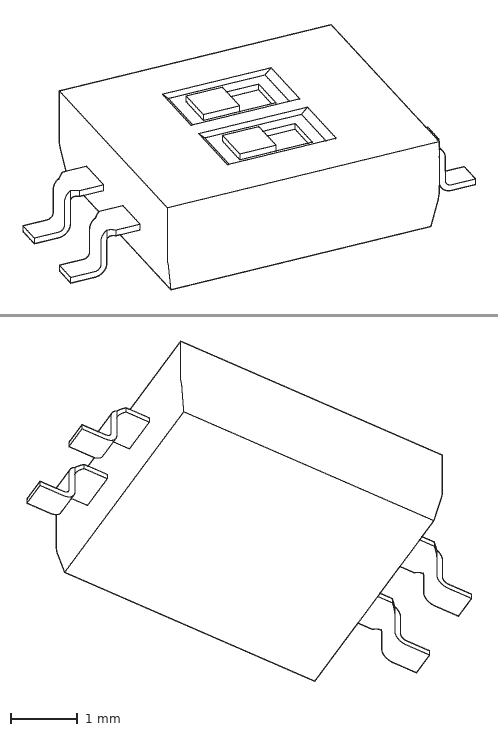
import cadquery as cq
import math

BODY_X = 3.77
BODY_Y = 4.5
STANDOFF = 0.1
TOP_Z = 1.6
DRAFT_ANGLE = 9.5
DRAFT_TAN = math.tan(math.radians(DRAFT_ANGLE))
X_SIDE_BREAK_Z = 0.59
Y_SIDE_BREAK_Z = 0.69

PITCH = 1.27
POSITIONS_X = (-PITCH / 2, PITCH / 2)

RECESS_X = 1.0
RECESS_Y = 1.8
RECESS_DEPTH = 0.1
RECESS_SLOPE = RECESS_DEPTH
SLOT_X = 0.6
SLOT_Y = 1.2
SLOT_DEPTH = 0.1

LEAD_THICKNESS = 0.1
LEAD_TOP_Z = 0.8
LEAD_TIP_Y = 3.35
LEAD_SHANK_Y = 2.85
BEND_INNER = 0.1
BEND_OUTER = BEND_INNER + LEAD_THICKNESS
SHOULDER_WIDTH = 0.6
LEAD_WIDTH = 0.4
LEAD_ROOT = 0.2


def drafted_prism(plane, width, break_z, length):
    """Symmetric body section, upright above break_z and leaning in below it."""
    half = width / 2
    bottom_half = half - (break_z - STANDOFF) * DRAFT_TAN
    outline = [
        (-bottom_half, STANDOFF),
        (bottom_half, STANDOFF),
        (half, break_z),
        (half, TOP_Z),
        (-half, TOP_Z),
        (-half, break_z),
    ]
    return cq.Workplane(plane).polyline(outline).close().extrude(length / 2, both=True)


def make_body():
    x_section = drafted_prism("XZ", BODY_X, X_SIDE_BREAK_Z, BODY_Y)
    y_section = drafted_prism("YZ", BODY_Y, Y_SIDE_BREAK_Z, BODY_X)
    return x_section.intersect(y_section)


def make_recess(x):
    """Recess and slot to remove; the actuator fills the -Y half of the slot."""
    floor_z = TOP_Z - RECESS_DEPTH
    half_top = RECESS_Y / 2
    half_floor = half_top - RECESS_SLOPE
    outline = [(-half_top, TOP_Z), (half_top, TOP_Z), (half_floor, floor_z), (-half_floor, floor_z)]
    recess = cq.Workplane("YZ", origin=(x, 0, 0)).polyline(outline).close().extrude(RECESS_X / 2, both=True)
    slot = cq.Workplane(origin=(x, 0, floor_z)).rect(SLOT_X, SLOT_Y).extrude(-SLOT_DEPTH)
    return recess.union(slot)


def make_actuator(x):
    """Slider rising from the slot floor to the top face."""
    length = SLOT_Y / 2
    height = RECESS_DEPTH + SLOT_DEPTH
    return cq.Workplane(origin=(x, -length / 2, TOP_Z)).rect(SLOT_X, length).extrude(-height)


def make_lead(x):
    """Lead on the +Y side: bent strip trimmed to a shouldered plan outline."""
    root_y = BODY_Y / 2 - LEAD_ROOT
    inner_y = LEAD_SHANK_Y - LEAD_THICKNESS
    under_z = LEAD_TOP_Z - LEAD_THICKNESS
    strip = (
        cq.Workplane("YZ", origin=(x, 0, 0))
        .moveTo(root_y, LEAD_TOP_Z)
        .lineTo(LEAD_SHANK_Y - BEND_OUTER, LEAD_TOP_Z)
        .radiusArc((LEAD_SHANK_Y, LEAD_TOP_Z - BEND_OUTER), BEND_OUTER)
        .lineTo(LEAD_SHANK_Y, BEND_OUTER)
        .radiusArc((LEAD_SHANK_Y + BEND_INNER, LEAD_THICKNESS), -BEND_INNER)
        .lineTo(LEAD_TIP_Y, LEAD_THICKNESS)
        .lineTo(LEAD_TIP_Y, 0)
        .lineTo(inner_y + BEND_OUTER, 0)
        .radiusArc((inner_y, BEND_OUTER), BEND_OUTER)
        .lineTo(inner_y, under_z - BEND_INNER)
        .radiusArc((inner_y - BEND_INNER, under_z), -BEND_INNER)
        .lineTo(root_y, under_z)
        .close()
        .extrude(SHOULDER_WIDTH / 2, both=True)
    )

    half_wide = SHOULDER_WIDTH / 2
    half_narrow = LEAD_WIDTH / 2
    shoulder_y = LEAD_SHANK_Y - BEND_OUTER
    narrow_y = shoulder_y + half_wide - half_narrow
    plan = [
        (-half_wide, root_y),
        (half_wide, root_y),
        (half_wide, shoulder_y),
        (half_narrow, narrow_y),
        (half_narrow, LEAD_TIP_Y),
        (-half_narrow, LEAD_TIP_Y),
        (-half_narrow, narrow_y),
        (-half_wide, shoulder_y),
    ]
    envelope = cq.Workplane(origin=(x, 0, 0)).polyline(plan).close().extrude(LEAD_TOP_Z)
    return strip.intersect(envelope)


result = make_body()
for position_x in POSITIONS_X:
    result = result.cut(make_recess(position_x))
    result = result.union(make_actuator(position_x))
    lead = make_lead(position_x)
    result = result.union(lead)
    result = result.union(lead.mirror("XZ"))